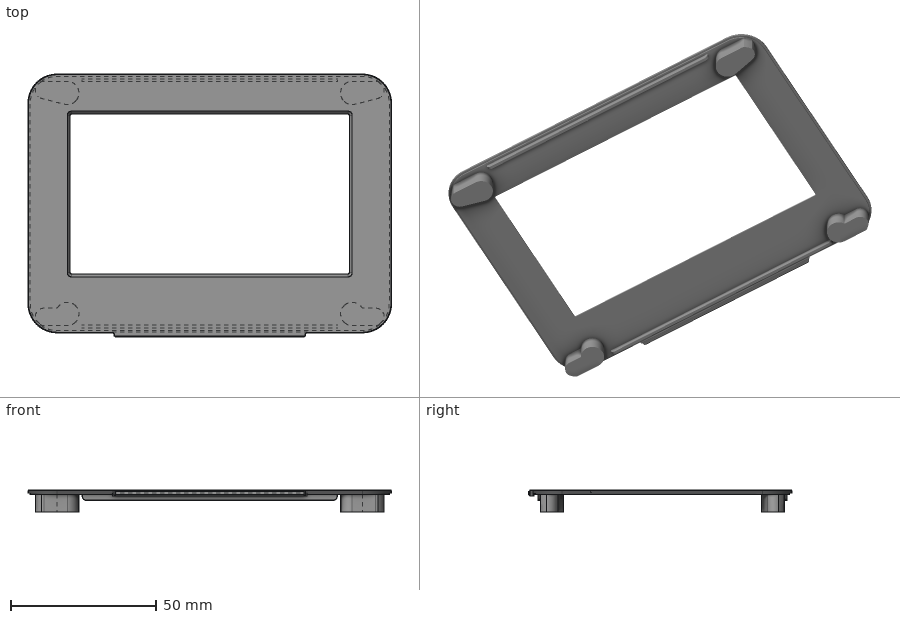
import cadquery as cq
import math

LENGTH = 125.0
DEPTH = 89.0
CORNER_RADIUS = 10.0
PLATE_THICKNESS = 1.5
UPPER_THICKNESS = 1.0
LOWER_INSET = 0.8
EDGE_CHAMFER = 0.19

WINDOW_LENGTH = 98.0
WINDOW_DEPTH = 57.0
WINDOW_OFFSET_Y = 3.2
WINDOW_CORNER_RADIUS = 1.5
WINDOW_SLOPE_WIDTH = 1.0
WINDOW_SLOPE_HEIGHT = UPPER_THICKNESS

LIP_LENGTH = 65.8
LIP_OVERHANG = 1.5
LIP_OVERLAP = 0.2
LIP_HEIGHT = 2.0
LIP_CHAMFER = 0.5
LIP_ROOT_RADIUS = 0.6

OVERALL_HEIGHT = 7.5
FOOT_INSET = 2.5
FOOT_LENGTH = 15.0
FOOT_TRIM_INSET = 0.9
SMALL_END_RADIUS = 3.0
LARGE_END_RADIUS = 4.0

RIB_LENGTH = 87.8
RIB_THICKNESS = 1.0
RIB_INSET = 1.6
RIB_BOTTOM = 3.5
RIB_END_RADIUS = 1.5


def outline_prism(inset, top, bottom):
    """Rounded plate outline, moved inwards by inset, between two depths below the top face."""
    return (
        cq.Workplane("XY")
        .workplane(offset=-bottom)
        .rect(LENGTH - 2 * inset, DEPTH - 2 * inset)
        .extrude(bottom - top)
        .edges("|Z")
        .fillet(CORNER_RADIUS - inset)
    )


def make_plate():
    upper = outline_prism(0, 0, UPPER_THICKNESS)
    upper = upper.faces(">Z").edges().chamfer(EDGE_CHAMFER)
    lower = outline_prism(LOWER_INSET, UPPER_THICKNESS, PLATE_THICKNESS)
    return upper.union(lower)


def make_window():
    bottom_length = WINDOW_LENGTH - 2 * WINDOW_SLOPE_WIDTH
    bottom_depth = WINDOW_DEPTH - 2 * WINDOW_SLOPE_WIDTH
    slope_angle = math.degrees(math.atan2(WINDOW_SLOPE_WIDTH, WINDOW_SLOPE_HEIGHT))
    center = cq.Workplane("XY").center(0, WINDOW_OFFSET_Y)
    upright = (
        center.rect(bottom_length, bottom_depth)
        .extrude(-PLATE_THICKNESS)
        .edges("|Z")
        .fillet(WINDOW_CORNER_RADIUS - WINDOW_SLOPE_WIDTH)
    )
    top_outline = cq.Sketch().rect(WINDOW_LENGTH, WINDOW_DEPTH).vertices().fillet(WINDOW_CORNER_RADIUS)
    sloped = center.placeSketch(top_outline).extrude(-WINDOW_SLOPE_HEIGHT, taper=slope_angle)
    return upright.union(sloped)


def make_lip():
    width = LIP_OVERHANG + LIP_OVERLAP
    center_y = -DEPTH / 2 - LIP_OVERHANG + width / 2
    return (
        cq.Workplane("XY")
        .box(LIP_LENGTH, width, LIP_HEIGHT)
        .faces("<Y")
        .edges()
        .chamfer(LIP_CHAMFER)
        .translate((0, center_y, -LIP_HEIGHT / 2))
    )


def make_lip_roots():
    """Concave fillets that blend the ends of the lip into the front edge of the plate."""
    lip_end = LIP_LENGTH / 2
    edge_y = -DEPTH / 2
    root = (
        cq.Workplane("XY")
        .moveTo(lip_end, edge_y)
        .lineTo(lip_end, edge_y - LIP_ROOT_RADIUS)
        .radiusArc((lip_end + LIP_ROOT_RADIUS, edge_y), LIP_ROOT_RADIUS)
        .lineTo(lip_end + LIP_ROOT_RADIUS, edge_y + LIP_OVERLAP)
        .lineTo(lip_end, edge_y + LIP_OVERLAP)
        .close()
        .extrude(-LIP_HEIGHT)
    )
    return root.union(root.mirror("YZ"))


def make_rib(side):
    """Rib along the border on the given side: -1 for the front, 1 for the back."""
    center_y = side * (DEPTH / 2 - RIB_INSET - RIB_THICKNESS / 2)
    height = RIB_BOTTOM - UPPER_THICKNESS
    return (
        cq.Workplane("XY")
        .box(RIB_LENGTH, RIB_THICKNESS, height)
        .edges("|Y and <Z")
        .fillet(RIB_END_RADIUS)
        .translate((0, center_y, -UPPER_THICKNESS - height / 2))
    )


def foot_outline(small_center, large_center, inner_side):
    """Solid between the two round ends, closed by a straight outer side and the given inner side."""
    small_x, small_y = small_center
    large_x, large_y = large_center
    height = OVERALL_HEIGHT - UPPER_THICKNESS
    base = cq.Workplane("XY").workplane(offset=-OVERALL_HEIGHT)
    web_points = [
        (small_x, small_y - SMALL_END_RADIUS),
        (large_x, large_y - LARGE_END_RADIUS),
        (large_x, large_y),
        *inner_side,
        (small_x, small_y),
    ]
    web = base.polyline(web_points).close().extrude(height)
    small_end = base.center(small_x, small_y).circle(SMALL_END_RADIUS).extrude(height)
    large_end = base.center(large_x, large_y).circle(LARGE_END_RADIUS).extrude(height)
    return web.union(small_end).union(large_end)


def make_foot(tangent_inner_side):
    """Foot in the front left corner; its inner side is tangent to both ends or parallel to X."""
    edge_x = -LENGTH / 2 + FOOT_INSET
    edge_y = -DEPTH / 2 + FOOT_INSET
    small_x = edge_x + SMALL_END_RADIUS
    small_y = edge_y + SMALL_END_RADIUS
    large_x = edge_x + FOOT_LENGTH - LARGE_END_RADIUS
    large_y = edge_y + LARGE_END_RADIUS
    if tangent_inner_side:
        turn = 2 * math.atan2(large_y - small_y, large_x - small_x)
        normal_x = -math.sin(turn)
        normal_y = math.cos(turn)
        inner_side = [
            (large_x + LARGE_END_RADIUS * normal_x, large_y + LARGE_END_RADIUS * normal_y),
            (small_x + SMALL_END_RADIUS * normal_x, small_y + SMALL_END_RADIUS * normal_y),
        ]
    else:
        inner_y = small_y + SMALL_END_RADIUS
        inner_side = [(large_x, inner_y), (small_x, inner_y)]
    return foot_outline((small_x, small_y), (large_x, large_y), inner_side)


def make_feet():
    """Four feet, mirrored left to right, trimmed to a rounded outline inside the lower layer."""
    front_left = make_foot(tangent_inner_side=False)
    back_left = make_foot(tangent_inner_side=True).mirror("XZ")
    left = front_left.union(back_left)
    feet = left.union(left.mirror("YZ"))
    return feet.intersect(outline_prism(FOOT_TRIM_INSET, UPPER_THICKNESS, OVERALL_HEIGHT))


result = make_plate().union(make_lip()).union(make_lip_roots()).cut(make_window())
result = result.union(make_rib(-1)).union(make_rib(1)).union(make_feet())